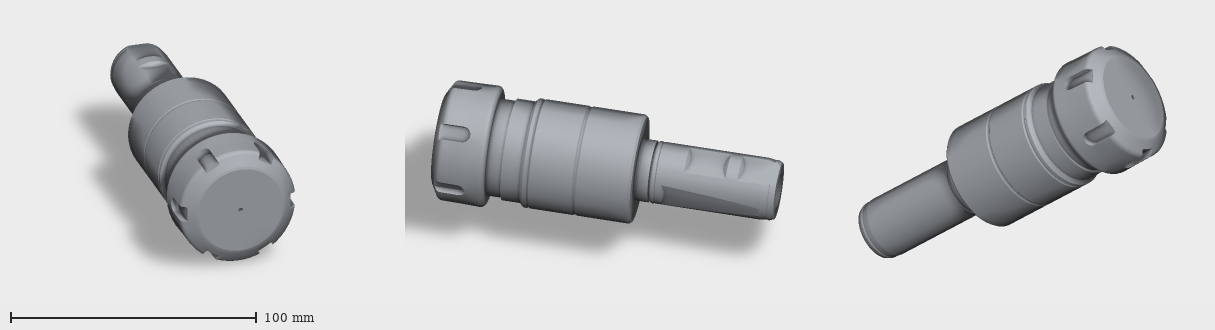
import cadquery as cq
import math


total_length = 140.5
coolant_diameter = 2.0

shank_diameter = 25.4
shank_length = 57.6
shank_bore_diameter = 14.0
nose_diameter = 23.3
nose_cone_length = 1.8
nose_land_end = 2.4
nose_step_length = 0.3
lead_in_diameter = 24.5
nose_land_diameter = 24.9
lead_in_end = 5.6
neck_diameter = 25.1
neck_start = 55.8
neck_chamfer_length = 0.5
neck_root_chamfer = 0.3

flat_height = 11.0
flat_ring_inner_radius = 9.8
rear_flat_start = -4.2
front_flat_start = 20.8
front_flat_end = 37.9
rear_flat_end = 15.9

notch_angle = 2.0
notch_start_height = 12.5
notch_end = 46.6

ring_groove_start = 49.0
ring_groove_width = 3.0
ring_groove_diameter = 20.9
ring_thickness = 2.4

housing_diameter = 45.0
housing_chamfer_length = 1.0
housing_face_diameter = 43.4
mark_groove_start = 79.9
mark_groove_width = 1.8
mark_groove_depth = 0.4
mark_groove_rear_bevel = 0.7
joint_x = 100.1
joint_chamfer = 0.63

flange_end = 102.1
collar_diameter = 41.9
collar_start = 103.7
collar_end = 111.2
relief_width = 0.7
relief_depth = 0.1
spindle_neck_diameter = 39.9
spindle_end = 133.4

nut_start = 117.7
nut_diameter = 50.0
nut_rear_fillet = 2.2
nut_shoulder_diameter = 49.3
nut_face_diameter = 36.2
nut_rim_diameter = 38.3
nut_rim_length = 0.4
nut_cone_angle = 60.0
nut_front_fillet = 2.2
edge_search_margin = 0.1

slot_count = 6
slot_width = 6.5
slot_start = 125.3
slot_floor_radius = 21.9


def turned(points):
    """Solid of revolution about the X axis from (x, radius) points, closed along the axis."""
    axis_points = [(points[-1][0], 0), (points[0][0], 0)]
    outline = cq.Workplane("XY").polyline(points + axis_points).close()
    return outline.revolve(360, (0, 0, 0), (1, 0, 0))


def rod(diameter, start, end):
    """Cylinder on the X axis."""
    return cq.Workplane("YZ").workplane(offset=start).circle(diameter / 2).extrude(end - start)


def coolant_hole():
    return rod(coolant_diameter, 0, total_length)


def flat_envelope(start, end):
    """Ring about the X axis whose 45 degree conical ends form the end walls of a flat."""
    outer = shank_diameter / 2
    inner = flat_ring_inner_radius
    run = outer - inner
    corners = [(start, outer), (end, outer), (end - run, inner), (start + run, inner)]
    return cq.Workplane("XY").polyline(corners).close().revolve(360, (0, 0, 0), (1, 0, 0))


def weldon_flat_cutter(start, end):
    """Everything above the flat height, between the conical end walls."""
    above_flat = (
        cq.Workplane("XY")
        .box(end - start, shank_diameter, shank_diameter, centered=(False, True, False))
        .translate((start, 0, flat_height))
    )
    return flat_envelope(start, end).intersect(above_flat)


def whistle_notch_cutter():
    """Everything outside a flat that sinks towards the housing, up to a conical end wall."""
    slope = math.tan(math.radians(notch_angle))
    end_height = notch_start_height - (notch_end - lead_in_end) * slope
    profile = [
        (lead_in_end, notch_start_height),
        (notch_end, end_height),
        (notch_end, shank_diameter),
        (lead_in_end, shank_diameter),
    ]
    above_flat = cq.Workplane("XY").polyline(profile).close().extrude(shank_diameter, both=True)
    return flat_envelope(0, notch_end).intersect(above_flat)


def make_housing():
    shank_r = shank_diameter / 2
    groove_r = ring_groove_diameter / 2
    neck_r = neck_diameter / 2
    body_r = housing_diameter / 2
    ring_groove_end = ring_groove_start + ring_groove_width
    mark_floor_r = body_r - mark_groove_depth
    mark_groove_end = mark_groove_start + mark_groove_width
    housing = turned([
        (0, nose_diameter / 2),
        (nose_cone_length, nose_land_diameter / 2),
        (nose_land_end, nose_land_diameter / 2),
        (nose_land_end + nose_step_length, lead_in_diameter / 2),
        (lead_in_end, shank_r),
        (ring_groove_start, shank_r),
        (ring_groove_start, groove_r),
        (ring_groove_end, groove_r),
        (ring_groove_end, shank_r),
        (neck_start, shank_r),
        (neck_start + neck_chamfer_length, neck_r),
        (shank_length - neck_root_chamfer, neck_r),
        (shank_length, neck_r + neck_root_chamfer),
        (shank_length, housing_face_diameter / 2),
        (shank_length + housing_chamfer_length, body_r),
        (mark_groove_start, body_r),
        (mark_groove_start + mark_groove_rear_bevel, mark_floor_r),
        (mark_groove_end - mark_groove_depth, mark_floor_r),
        (mark_groove_end, body_r),
        (joint_x - joint_chamfer, body_r),
        (joint_x, body_r - joint_chamfer),
    ])
    housing = housing.cut(weldon_flat_cutter(rear_flat_start, rear_flat_end))
    housing = housing.cut(weldon_flat_cutter(front_flat_start, front_flat_end))
    housing = housing.cut(whistle_notch_cutter())
    return housing.cut(rod(shank_bore_diameter, 0, shank_length)).cut(coolant_hole())


def make_o_ring():
    """Torus resting on the groove floor and against the groove's rear wall."""
    section_r = ring_thickness / 2
    center = (ring_groove_start + section_r, ring_groove_diameter / 2 + section_r)
    section = cq.Workplane("XY").center(*center).circle(section_r)
    return section.revolve(360, (0, -center[1], 0), (1, -center[1], 0))


def make_spindle():
    flange_r = housing_diameter / 2
    collar_r = collar_diameter / 2
    neck_r = spindle_neck_diameter / 2
    relief_r = neck_r - relief_depth
    relief_end = collar_end + relief_width
    spindle = turned([
        (joint_x, flange_r - joint_chamfer),
        (joint_x + joint_chamfer, flange_r),
        (flange_end, flange_r),
        (collar_start, collar_r),
        (collar_end, collar_r),
        (collar_end, relief_r),
        (relief_end, relief_r),
        (relief_end, neck_r),
        (spindle_end, neck_r),
    ])
    return spindle.cut(coolant_hole())


def nut_slot_cutter():
    """Slot on the -Y side with a flat floor and a round rear end, open at the front."""
    radius = slot_width / 2
    center_x = slot_start + radius
    outline = (
        cq.Workplane("XZ", origin=(0, -slot_floor_radius, 0))
        .moveTo(total_length, radius)
        .lineTo(center_x, radius)
        .threePointArc((slot_start, 0), (center_x, -radius))
        .lineTo(total_length, -radius)
        .close()
    )
    return outline.extrude(nut_diameter / 2)


def make_nut():
    face_r = nut_face_diameter / 2
    shoulder_r = nut_shoulder_diameter / 2
    rim_r = nut_rim_diameter / 2
    rim_x = total_length - nut_rim_length
    shoulder_x = rim_x - (shoulder_r - rim_r) / math.tan(math.radians(nut_cone_angle))
    rear_r = nut_diameter / 2
    fillet_end = nut_start + nut_rear_fillet
    arc_offset = nut_rear_fillet * (1 - math.sqrt(0.5))
    outline = (
        cq.Workplane("XY")
        .moveTo(nut_start, 0)
        .lineTo(nut_start, rear_r - nut_rear_fillet)
        .threePointArc((nut_start + arc_offset, rear_r - arc_offset), (fillet_end, rear_r))
        .lineTo(shoulder_x, shoulder_r)
        .lineTo(rim_x, rim_r)
        .lineTo(total_length, face_r)
        .lineTo(total_length, 0)
        .close()
    )
    nut = outline.revolve(360, (0, 0, 0), (1, 0, 0))
    corner_low = (shoulder_x - edge_search_margin, -nut_diameter, -nut_diameter)
    corner_high = (shoulder_x + edge_search_margin, nut_diameter, nut_diameter)
    nut = nut.edges(cq.selectors.BoxSelector(corner_low, corner_high)).fillet(nut_front_fillet)
    for index in range(slot_count):
        angle = index * 360 / slot_count
        nut = nut.cut(nut_slot_cutter().rotate((0, 0, 0), (1, 0, 0), angle))
    return nut.cut(rod(spindle_neck_diameter, nut_start, spindle_end)).cut(coolant_hole())


housing = make_housing()
o_ring = make_o_ring()
spindle = make_spindle()
nut = make_nut()

result = cq.Compound.makeCompound([housing.val(), o_ring.val(), spindle.val(), nut.val()])